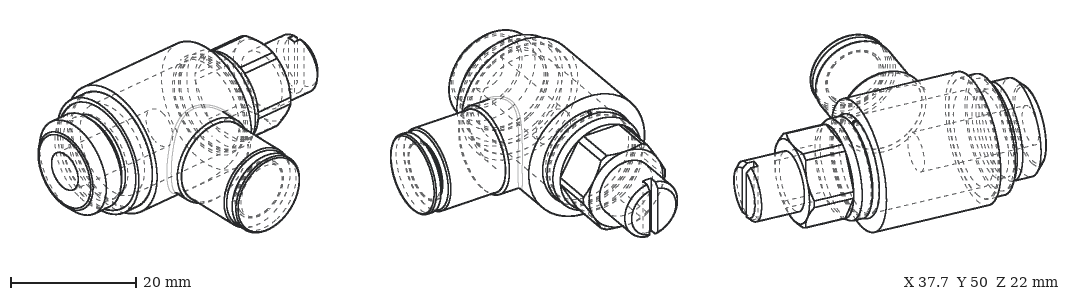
import cadquery as cq
import math


barrel_radius = 11.0
barrel_length = 20.0
barrel_end = barrel_length / 2
bore_radius = 7.9

boss_radius = 7.5
boss_end = 13.5
boss_chamfer = 0.45
boss_fillet = 0.5

sleeve_radius = 7.0
sleeve_end = 24.15
sleeve_chamfer = 0.3

neck_radius = 4.75
lip_radius = 5.05
lip_length = 0.25
flange_radius = 6.75
flange_start = 25.55
flange_end = 26.7
flange_chamfer = 0.25
flange_fillet = 0.3

bolt_bottom = -20.0
rim_radius = 6.7
rim_edge_y = -19.85
rim_chamfer = 0.4
plug_radius = 8.15
plug_bottom = -18.3
plug_top = -15.1
plug_neck_radius = 7.25
plug_neck_bottom = plug_top + plug_radius - plug_neck_radius

seat_radius = 10.0
seat_bottom = -13.0
seat_chamfer = 0.15
seal_tube_radius = 1.0
seal_mean_radius = plug_neck_radius + seal_tube_radius

shank_top = 11.35
collar_radius = 8.4
collar_chamfer_start = 13.1
collar_top_radius = 7.75
hex_bottom = 14.3

hex_across_flats = 14.0
hex_top = 21.7
hex_corner_radius = 7.75
hex_top_chamfer = 0.5
hex_top_radius = hex_across_flats / 2

screw_radius = 5.0
screw_top = 30.0
screw_chamfer = 0.8
slot_width = 1.55
slot_depth = 2.0

passage_radius = 3.25
passage_depth = -bolt_bottom

snap_ring_thickness = 1.05
snap_ring_tube_radius = snap_ring_thickness / 2
snap_ring_outer_radius = 8.6
snap_ring_gap = 0.4


def cylinder_y(radius, y_start, y_end):
    """Cylinder around the Y axis between two Y positions."""
    return cq.Workplane(cq.Solid.makeCylinder(
        radius, y_end - y_start, cq.Vector(0, y_start, 0), cq.Vector(0, 1, 0)))


def cylinder_x(radius, x_start, x_end):
    """Cylinder around the X axis between two X positions."""
    return cq.Workplane(cq.Solid.makeCylinder(
        radius, x_end - x_start, cq.Vector(x_start, 0, 0), cq.Vector(1, 0, 0)))


def ring_y(mean_radius, tube_radius, y_centre):
    """Ring of round section around the Y axis."""
    return cq.Workplane(cq.Solid.makeTorus(
        mean_radius, tube_radius, cq.Vector(0, y_centre, 0), cq.Vector(0, 1, 0)))


def make_port():
    """Stepped sleeve and release flange beyond the boss."""
    sleeve = cylinder_x(sleeve_radius, boss_end, sleeve_end).faces(">X").chamfer(sleeve_chamfer)
    lip = cylinder_x(lip_radius, sleeve_end, sleeve_end + lip_length)
    neck = cylinder_x(neck_radius, sleeve_end, flange_start)
    flange = cylinder_x(flange_radius, flange_start, flange_end).faces(">X").chamfer(flange_chamfer)
    collet = neck.union(flange)
    flange_back = collet.faces("|X").faces("<X[1]")
    neck_corner = flange_back.edges(cq.selectors.RadiusNthSelector(0))
    collet = neck_corner.fillet(flange_fillet)
    return sleeve.union(lip).union(collet)


def make_housing():
    barrel = cylinder_y(barrel_radius, -barrel_end, barrel_end)
    boss = cylinder_x(boss_radius, 0, boss_end).faces(">X").chamfer(boss_chamfer)
    body = barrel.union(boss)
    joint = body.edges("not (%CIRCLE or %LINE)")
    body = joint.fillet(boss_fillet)
    bore = cylinder_y(bore_radius, -barrel_end, barrel_end)
    return body.union(make_port()).cut(bore)


def make_shaft():
    """Turned profile of the bolt from the plug to the collar."""
    profile = [
        (0, bolt_bottom),
        (rim_radius - rim_chamfer, bolt_bottom),
        (rim_radius, rim_edge_y),
        (plug_radius, plug_bottom),
        (plug_radius, plug_top),
        (plug_neck_radius, plug_neck_bottom),
        (plug_neck_radius, seat_bottom),
        (seat_radius, seat_bottom),
        (seat_radius, -barrel_end - seat_chamfer),
        (seat_radius - seat_chamfer, -barrel_end),
        (bore_radius, -barrel_end),
        (bore_radius, shank_top),
        (collar_radius, shank_top),
        (collar_radius, collar_chamfer_start),
        (collar_top_radius, hex_bottom),
        (0, hex_bottom),
    ]
    shaft = cq.Workplane("XY").polyline(profile).close().revolve(360, (0, 0), (0, 1))
    return shaft.union(ring_y(seal_mean_radius, seal_tube_radius, seat_bottom))


def make_hex():
    """Hexagon with two flats facing +Z and -Z, its corners turned down and its top edge bevelled."""
    across_corners = hex_across_flats / math.cos(math.radians(30))
    prism = (cq.Workplane("XZ", origin=(0, hex_bottom, 0))
             .polygon(6, across_corners).extrude(hex_bottom - hex_top))
    turned = [
        (0, hex_bottom),
        (hex_corner_radius, hex_bottom),
        (hex_corner_radius, hex_top - hex_top_chamfer),
        (hex_top_radius, hex_top),
        (0, hex_top),
    ]
    envelope = cq.Workplane("XY").polyline(turned).close().revolve(360, (0, 0), (0, 1))
    return prism.intersect(envelope)


def make_screw():
    """Adjusting screw with a driver slot along Z."""
    screw = cylinder_y(screw_radius, hex_top, screw_top).faces(">Y").chamfer(screw_chamfer)
    slot = (cq.Workplane("XY").box(slot_width, slot_depth, 2 * screw_radius)
            .translate((0, screw_top - slot_depth / 2, 0)))
    return screw.cut(slot)


def make_snap_ring():
    """Round wire ring, open at +Z."""
    mean_radius = snap_ring_outer_radius - snap_ring_tube_radius
    y_centre = barrel_end + snap_ring_tube_radius
    ring = ring_y(mean_radius, snap_ring_tube_radius, y_centre)
    gap_height = 4 * snap_ring_tube_radius
    gap = (cq.Workplane("XY").box(snap_ring_gap, gap_height, gap_height)
           .translate((0, y_centre, mean_radius)))
    return ring.cut(gap)


def make_bolt():
    bolt = make_shaft().union(make_hex()).union(make_screw()).union(make_snap_ring())
    passage = cylinder_y(passage_radius, bolt_bottom, bolt_bottom + passage_depth)
    return bolt.cut(passage)


housing = make_housing()
bolt = make_bolt()

result = cq.Compound.makeCompound([*housing.solids().vals(), *bolt.solids().vals()])